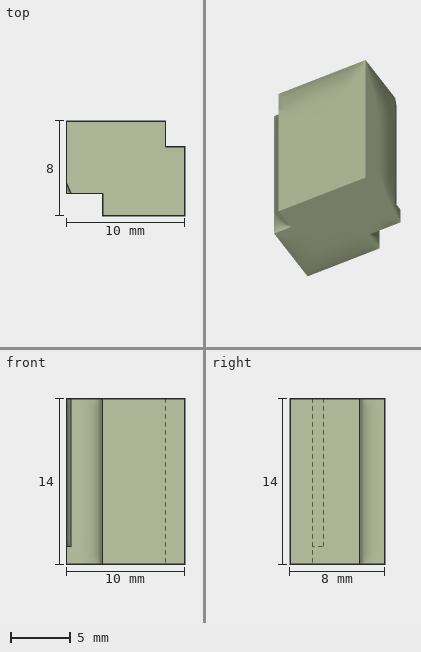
import cadquery as cq

length_x = 10.0
width_y = 8.0
height_z = 14.0

front_step_x = 3.05
front_step_y = 1.88
back_step_x = 1.62
back_step_y = 2.15

bevel_x = 0.39
bevel_y = 0.92
bevel_bottom_z = 1.5


def stepped_block():
    """Block with two diagonally opposite corners notched out, one corner at the origin."""
    return (
        cq.Workplane("XY")
        .moveTo(front_step_x, 0)
        .lineTo(length_x, 0)
        .lineTo(length_x, width_y - back_step_y)
        .lineTo(length_x - back_step_x, width_y - back_step_y)
        .lineTo(length_x - back_step_x, width_y)
        .lineTo(0, width_y)
        .lineTo(0, front_step_y)
        .lineTo(front_step_x, front_step_y)
        .close()
        .extrude(height_z)
    )


def bevel_cutter():
    """Triangular prism that removes the bevelled edge from the stop up to the top face."""
    return (
        cq.Workplane("XY")
        .workplane(offset=bevel_bottom_z)
        .moveTo(0, front_step_y)
        .lineTo(bevel_x, front_step_y)
        .lineTo(0, front_step_y + bevel_y)
        .close()
        .extrude(height_z - bevel_bottom_z)
    )


result = stepped_block().cut(bevel_cutter())